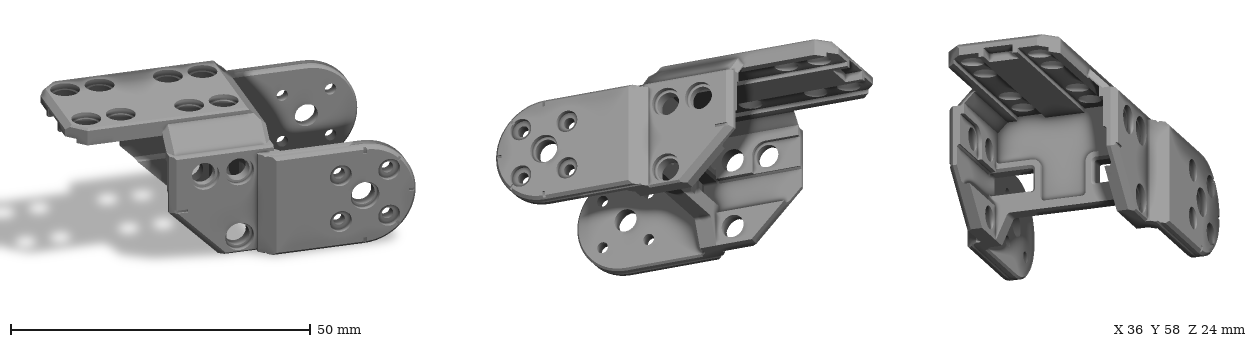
import cadquery as cq


total_width = 36.0
total_length = 58.0
total_height = 24.0
wall = 3.0

arm_radius = 9.0
arm_outer_x = total_width / 2
arm_inner_x = 15.0
arm_mid_x = (arm_inner_x + arm_outer_x) / 2
arm_front_y = -18.0
arm_front_chamfer = 2.5
arm_outer_chamfer = 0.5
seam_width = 0.5
gusset = 0.9

bore_diameter = 4.0
counterbore_diameter = 5.0
counterbore_depth = 1.0
small_bore_diameter = 2.0
small_counterbore_diameter = 3.8
hole_radius = 6.0
top_hole_rows = (-21.0, -27.0, -39.0, -45.0)
side_holes = ((-21.0, hole_radius), (-27.0, hole_radius), (-21.0, -hole_radius))

bottom_z = -arm_radius
top_z = bottom_z + total_height
plate_bottom_z = top_z - wall
front_y = arm_radius - total_length
body_front_y = -33.0
body_back_y = -15.0
body_half_width = arm_inner_x
web_front_y = arm_front_y
shoulder_z = 10.0
shoulder_x = 14.0
plate_half_width = 10.0
hood_slope = shoulder_x - plate_half_width
side_slant = 8.5
edge_chamfer = 1.0
fine_chamfer = 0.35

cavity_half_width = body_half_width - wall
cavity_corner = 1.75
arch_z = -4.4
arch_half_width = 9.85

pocket_half_width = 13.35
pocket_bottom_z = -3.0
window_inner_x = 5.45
window_bottom_z = -0.9
window_top_z = 3.15
window_corner = 0.4
window_chamfer = 0.45

recess_depth = 1.0
recess_floor_y = web_front_y + recess_depth
recess_bar_z = 4.5
stem_half_width = 4.0
recess_inner_radius = 1.5
web_corner_radius = 0.7

groove_depth = 0.75
notch_half_width = 2.6
notch_height = 1.5
notch_length = 3.0

mark_count = 5
mark_width = 0.5
mark_depth = 0.3
arm_mark_length = 1.3
side_mark_length = 3.0


def box(x0, x1, y0, y1, z0, z1):
    """Box between two opposite corners."""
    return cq.Workplane("XY").box(x1 - x0, y1 - y0, z1 - z0, centered=False).translate((x0, y0, z0))


def both_sides(shape):
    """The shape together with its mirror image in X = 0."""
    return shape.union(shape.mirror("YZ"))


def prism_along_y(points, y_front, y_back):
    """Extrude an XZ outline from y_front back to y_back."""
    return cq.Workplane("XZ", origin=(0, y_back, 0)).polyline(points).close().extrude(y_back - y_front)


def stepped_hole_x(y, z, x_outer, diameter, head_diameter):
    """Cutter for a hole through one wall, counterbored from the outer face."""
    outer_face = cq.Workplane("YZ", origin=(x_outer, y, z))
    bore = outer_face.circle(diameter / 2).extrude(-2 * wall)
    return bore.union(outer_face.circle(head_diameter / 2).extrude(-counterbore_depth))


def make_body():
    """Slanted lower block with a bevelled hood on its shoulders."""
    block = (
        cq.Workplane("YZ", origin=(-body_half_width, 0, 0))
        .polyline([
            (body_back_y, bottom_z),
            (body_back_y, shoulder_z),
            (body_front_y, shoulder_z),
            (body_front_y, bottom_z + side_slant),
            (body_front_y + side_slant, bottom_z),
        ])
        .close()
        .extrude(2 * body_half_width)
    )
    block = block.edges("(<Y and |Z) or (not (|X or |Y or |Z))").chamfer(edge_chamfer)
    block = block.faces("<Z or >Z").edges("|Y").chamfer(fine_chamfer)
    hood = prism_along_y(
        [
            (-shoulder_x, shoulder_z),
            (-plate_half_width, shoulder_z + hood_slope),
            (plate_half_width, shoulder_z + hood_slope),
            (shoulder_x, shoulder_z),
        ],
        body_front_y,
        body_back_y,
    )
    hood = hood.edges("not (|X or |Y or |Z)").chamfer(edge_chamfer)
    return block.union(hood)


def make_top_plate():
    """Flat mounting plate with bevelled front corners and top edges."""
    plate = box(-plate_half_width, plate_half_width, front_y, body_back_y, plate_bottom_z, top_z)
    plate = plate.edges("<Y and |Z").chamfer(wall)
    plate = plate.faces("<Y").edges(">Z").chamfer(edge_chamfer)
    return plate.faces(">Z").edges("not |X").chamfer(fine_chamfer)


def rear_bevel():
    """Wedge that slopes the rear edge of the top plate and hood."""
    return (
        cq.Workplane("YZ", origin=(-body_half_width, 0, 0))
        .polyline([
            (body_back_y, plate_bottom_z),
            (body_back_y, top_z),
            (body_back_y - wall, top_z),
        ])
        .close()
        .extrude(2 * body_half_width)
    )


def make_cavity():
    """Open space in front of the web, and the arch below the web."""
    cavity = box(
        -cavity_half_width, cavity_half_width, body_front_y, web_front_y, bottom_z, plate_bottom_z
    )
    cavity = cavity.edges(">Z and |Y").chamfer(cavity_corner)
    arch = prism_along_y(
        [
            (-cavity_half_width, bottom_z),
            (-arch_half_width, arch_z),
            (arch_half_width, arch_z),
            (cavity_half_width, bottom_z),
        ],
        body_front_y,
        body_back_y,
    )
    return cavity.union(arch.edges(">Z and |Y").fillet(web_corner_radius))


def make_recess():
    """T-shaped recess in the front face of the web."""
    bar = box(
        -cavity_half_width, cavity_half_width, web_front_y, recess_floor_y, recess_bar_z, plate_bottom_z
    )
    bar = bar.edges(">Z and |Y").chamfer(cavity_corner)
    bar = bar.edges("<Z and |Y").fillet(web_corner_radius)
    stem = box(
        -stem_half_width, stem_half_width, web_front_y, recess_floor_y, pocket_bottom_z, plate_bottom_z
    )
    stem = stem.edges("<Z and |Y").fillet(web_corner_radius)
    recess = bar.union(stem)
    margin = web_corner_radius
    inner_corners = cq.selectors.BoxSelector(
        (-stem_half_width - margin, web_front_y, recess_bar_z - margin),
        (stem_half_width + margin, recess_floor_y, recess_bar_z + margin),
    )
    return recess.edges("|Y").edges(inner_corners).fillet(recess_inner_radius)


def make_window():
    """Window through the web, flared at the front, with its pocket in the side wall."""
    window = box(
        window_inner_x, pocket_half_width, web_front_y, body_back_y, window_bottom_z, window_top_z
    )
    window = window.edges("|Y").fillet(window_corner)
    width = pocket_half_width - window_inner_x
    height = window_top_z - window_bottom_z
    centre_x = (pocket_half_width + window_inner_x) / 2
    centre_z = (window_top_z + window_bottom_z) / 2
    mouth = cq.Sketch().rect(width + 2 * window_chamfer, height + 2 * window_chamfer)
    mouth = mouth.vertices().fillet(window_corner + window_chamfer)
    flare = (
        cq.Workplane("XZ", origin=(centre_x, web_front_y, centre_z))
        .placeSketch(mouth)
        .extrude(-window_chamfer, taper=45)
        .intersect(box(0, pocket_half_width, web_front_y, body_back_y, bottom_z, top_z))
    )
    pocket = box(0, pocket_half_width, body_front_y, web_front_y, pocket_bottom_z, window_top_z)
    pocket = pocket.edges(">X and |Y").chamfer(fine_chamfer)
    pocket = pocket.intersect(
        box(cavity_half_width, pocket_half_width, body_front_y, web_front_y, bottom_z, top_z)
    )
    return window.union(flare).union(pocket)


def make_side_groove():
    """Relief inside the side wall, rounded around the front upper screw."""
    hole_y, hole_z = side_holes[1]
    half_width = counterbore_diameter / 2
    groove = box(
        cavity_half_width, cavity_half_width + groove_depth,
        body_front_y, hole_y + half_width,
        window_bottom_z, hole_z + half_width,
    )
    return groove.edges(">Y and >Z").fillet(half_width)


def make_top_groove():
    """Relief under the top plate along one row of screws."""
    half_width = counterbore_diameter / 2
    return box(
        hole_radius - half_width, hole_radius + half_width,
        front_y, recess_floor_y, plate_bottom_z, plate_bottom_z + groove_depth,
    )


def make_rim_notch():
    """Shallow notch under the middle of the front rim."""
    return box(
        -notch_half_width, notch_half_width,
        front_y, front_y + notch_length, plate_bottom_z, plate_bottom_z + notch_height,
    )


def top_holes():
    """Cutters for the counterbored screw holes in the top plate."""
    points = [(x, y) for x in (-hole_radius, hole_radius) for y in top_hole_rows]
    top_face = cq.Workplane("XY", origin=(0, 0, top_z)).pushPoints(points)
    bores = top_face.circle(bore_diameter / 2).extrude(-2 * wall)
    return bores.union(top_face.circle(counterbore_diameter / 2).extrude(-counterbore_depth))


def arm_outline(x, front):
    """Arm outline at a given X: round at the pivot end, square at the front."""
    return (
        cq.Workplane("YZ", origin=(x, 0, 0))
        .moveTo(front, -arm_radius)
        .lineTo(0, -arm_radius)
        .threePointArc((arm_radius, 0), (0, arm_radius))
        .lineTo(front, arm_radius)
        .close()
    )


def arm_seam():
    """V-groove that runs around the edge of the arm at half its thickness."""
    front = arm_front_y - wall
    half = seam_width / 2
    blank_size = 4 * arm_radius
    ring = cq.Workplane("YZ", origin=(arm_mid_x - half, 0, 0)).rect(blank_size, blank_size)
    ring = ring.extrude(seam_width)
    lower = arm_outline(arm_mid_x - half, front).extrude(half, taper=45)
    upper = arm_outline(arm_mid_x + half, front).extrude(-half, taper=45)
    return ring.cut(lower).cut(upper)


def arm_marks():
    """Short radial marks spread evenly over the half circle of the round end."""
    step_angle = 180 / (mark_count - 1)
    mark = box(
        arm_outer_x - mark_depth, arm_outer_x, -mark_width / 2, mark_width / 2,
        arm_radius - arm_mark_length, arm_radius,
    )
    marks = cq.Workplane("XY")
    for step in range(mark_count):
        marks = marks.add(mark.rotate((0, 0, 0), (1, 0, 0), -step_angle * step))
    return marks.combine()


def make_arm():
    """Pivot arm on the +X side with its seam, marks and screw holes."""
    arm = arm_outline(arm_inner_x, arm_front_y).extrude(arm_outer_x - arm_inner_x)
    arm = arm.faces(">X").edges("not |Z").chamfer(arm_outer_chamfer)
    arm = arm.faces("<X").edges("not |Z").chamfer(fine_chamfer)
    arm = arm.edges("<Y and >X").chamfer(arm_front_chamfer)
    arm = arm.cut(arm_seam()).cut(arm_marks())
    arm = arm.cut(stepped_hole_x(0, 0, arm_outer_x, bore_diameter, counterbore_diameter))
    offset = hole_radius / 2 ** 0.5
    for y in (-offset, offset):
        for z in (-offset, offset):
            arm = arm.cut(
                stepped_hole_x(y, z, arm_outer_x, small_bore_diameter, small_counterbore_diameter)
            )
    return arm


def make_gusset():
    """Bevelled filler in the inner corner between arm and body."""
    return (
        cq.Workplane("XY", origin=(0, 0, bottom_z))
        .polyline([
            (arm_inner_x - gusset, body_back_y),
            (arm_inner_x, body_back_y + gusset),
            (arm_inner_x + fine_chamfer, body_back_y + gusset),
            (arm_inner_x + fine_chamfer, arm_front_y),
            (arm_inner_x - gusset, arm_front_y),
        ])
        .close()
        .extrude(2 * arm_radius)
    )


def side_mark():
    """Alignment mark at pivot height on the outer face of the body."""
    return box(
        body_half_width - mark_depth, body_half_width,
        body_front_y, body_front_y + side_mark_length, -mark_width / 2, mark_width / 2,
    )


result = make_body().union(make_top_plate()).cut(rear_bevel())
result = result.cut(make_cavity()).cut(make_recess())
result = result.cut(both_sides(make_window()))
result = result.cut(both_sides(make_side_groove()))
result = result.cut(both_sides(make_top_groove()))
result = result.cut(make_rim_notch())
result = result.cut(top_holes())
result = result.union(both_sides(make_gusset())).union(both_sides(make_arm()))
for hole_y, hole_z in side_holes:
    hole = stepped_hole_x(hole_y, hole_z, body_half_width, bore_diameter, counterbore_diameter)
    result = result.cut(both_sides(hole))
result = result.cut(both_sides(side_mark()))